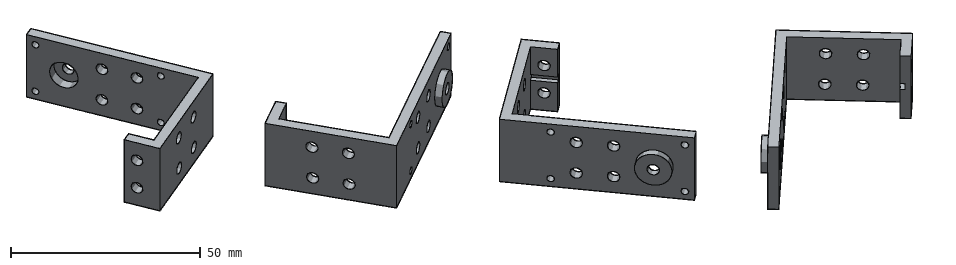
import cadquery as cq

LENGTH = 52.25
HEIGHT = 20.5
TOTAL_DEPTH = 38.25
BOSS_HEIGHT = 2.05
THICKNESS = 3.0
LIP_LENGTH = 10.25
BODY_DEPTH = TOTAL_DEPTH - BOSS_HEIGHT
MID_HEIGHT = HEIGHT / 2

BOSS_X = 10.7
BOSS_DIAMETER = 10.05
POCKET_DIAMETER = 8.1
POCKET_DEPTH = THICKNESS

SCREW_DIAMETER = 3.3
SCREW_PITCH = 10.05
PLATE_SCREWS_X = 26.65
PIN_DIAMETER = 2.0
PIN_PITCH_X = 35.95
PIN_PITCH_Z = 15.25
PINS_X = 20.55
WALL_SCREWS_Y = 18.05
WALL_ROW_SHIFT = 0.2
LIP_SCREWS_X = 45.65
LIP_SCREW_PITCH = 9.0

GROOVE_DEPTH = 1.35
GROOVE_HEIGHT = 1.9
GROOVE_RISE = 0.2


def box(x_start, y_start, z_start, x_size, y_size, z_size):
    """Box placed by its lowest corner."""
    solid = cq.Workplane("XY").box(x_size, y_size, z_size, centered=False)
    return solid.translate((x_start, y_start, z_start))


def cylinder_y(diameter, x, z, y_start, y_end):
    """Cylinder along Y."""
    return cq.Workplane(
        cq.Solid.makeCylinder(diameter / 2, y_end - y_start, cq.Vector(x, y_start, z), cq.Vector(0, 1, 0))
    )


def cylinder_x(diameter, y, z, x_start, x_end):
    """Cylinder along X."""
    return cq.Workplane(
        cq.Solid.makeCylinder(diameter / 2, x_end - x_start, cq.Vector(x_start, y, z), cq.Vector(1, 0, 0))
    )


plate_front = BODY_DEPTH - THICKNESS
lip_end = LENGTH - LIP_LENGTH
groove_length = LIP_LENGTH - THICKNESS

plate = box(0, plate_front, 0, LENGTH, THICKNESS, HEIGHT)
wall = box(LENGTH - THICKNESS, 0, 0, THICKNESS, BODY_DEPTH, HEIGHT)
lip = box(lip_end, 0, 0, LIP_LENGTH, THICKNESS, HEIGHT)
result = plate.union(wall).union(lip)

result = result.union(cylinder_y(BOSS_DIAMETER, BOSS_X, MID_HEIGHT, BODY_DEPTH, TOTAL_DEPTH))
result = result.cut(
    cylinder_y(POCKET_DIAMETER, BOSS_X, MID_HEIGHT, plate_front, plate_front + POCKET_DEPTH)
)
result = result.cut(cylinder_y(SCREW_DIAMETER, BOSS_X, MID_HEIGHT, plate_front, TOTAL_DEPTH))

for z_side in (-1, 1):
    screw_z = MID_HEIGHT + z_side * SCREW_PITCH / 2
    pin_z = MID_HEIGHT + z_side * PIN_PITCH_Z / 2
    lip_screw_z = MID_HEIGHT + z_side * LIP_SCREW_PITCH / 2
    wall_row_y = WALL_SCREWS_Y - z_side * WALL_ROW_SHIFT / 2
    for side in (-1, 1):
        screw_x = PLATE_SCREWS_X + side * SCREW_PITCH / 2
        pin_x = PINS_X + side * PIN_PITCH_X / 2
        wall_screw_y = wall_row_y + side * SCREW_PITCH / 2
        result = result.cut(cylinder_y(SCREW_DIAMETER, screw_x, screw_z, plate_front, BODY_DEPTH))
        result = result.cut(cylinder_y(PIN_DIAMETER, pin_x, pin_z, plate_front, BODY_DEPTH))
        result = result.cut(
            cylinder_x(SCREW_DIAMETER, wall_screw_y, screw_z, LENGTH - THICKNESS, LENGTH)
        )
    result = result.cut(cylinder_y(SCREW_DIAMETER, LIP_SCREWS_X, lip_screw_z, 0, THICKNESS))

groove_bottom = MID_HEIGHT + GROOVE_RISE - GROOVE_HEIGHT / 2
result = result.cut(
    box(lip_end, THICKNESS - GROOVE_DEPTH, groove_bottom, groove_length, GROOVE_DEPTH, GROOVE_HEIGHT)
)